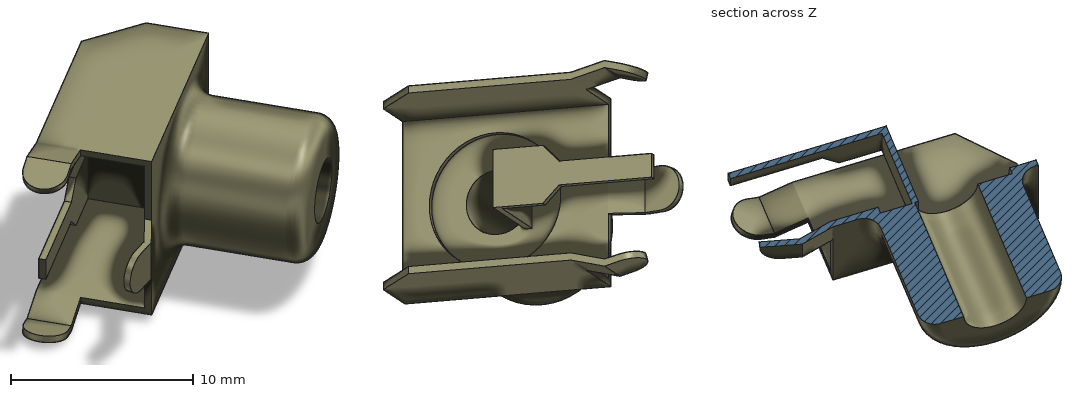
import cadquery as cq
import math

sheet = 0.4

wall_depth = 6.55
bracket_height = 10.6
top_y = 5.38
bottom_y = -6.6
corner_x = 3.0
corner_y = 2.53

barrel_radius = 4.16
barrel_length = 7.95
flare_radius = 0.95
rim_radius = 1.0
bore_radius = 1.81
recess_radius = 3.82
recess_depth = sheet

tab_width = 2.51
tab_rise = 0.5
tab_bend_drop = 1.96
wall_tab_drop = 3.95
web_tab_drop = 4.23

contact_front_x = -5.26
contact_top_y = -1.6
contact_tip_y = -10.82
taper_start_y = -4.5
taper_end_y = -5.46
contact_width = 3.27
tail_width = 1.35


def make_bracket():
    body = (
        cq.Workplane("XY")
        .box(wall_depth, top_y - bottom_y, bracket_height, centered=(False, False, True))
        .translate((-wall_depth, bottom_y, 0))
    )
    channel = (
        cq.Workplane("XY")
        .box(wall_depth, top_y - bottom_y, bracket_height - 2 * sheet, centered=(False, False, True))
        .translate((-wall_depth - sheet, bottom_y, 0))
    )
    corner = (
        cq.Workplane("XY")
        .moveTo(-wall_depth, top_y)
        .lineTo(-wall_depth + corner_x, top_y)
        .lineTo(-wall_depth, top_y - corner_y)
        .close()
        .extrude(bracket_height / 2, both=True)
    )
    return body.cut(channel).cut(corner)


def make_barrel():
    """Flared, rounded barrel; starts inside the web so the two overlap."""
    arc_offset = math.sqrt(0.5)
    flare_outer = barrel_radius + flare_radius
    flare_mid = (flare_radius * (1 - arc_offset), flare_outer - flare_radius * arc_offset)
    rim_start = barrel_length - rim_radius
    rim_mid = (rim_start + rim_radius * arc_offset, barrel_radius - rim_radius * (1 - arc_offset))
    return (
        cq.Workplane("XY")
        .moveTo(-sheet, 0)
        .lineTo(-sheet, flare_outer)
        .lineTo(0, flare_outer)
        .threePointArc(flare_mid, (flare_radius, barrel_radius))
        .lineTo(rim_start, barrel_radius)
        .threePointArc(rim_mid, (barrel_length, barrel_radius - rim_radius))
        .lineTo(barrel_length, 0)
        .close()
        .revolve(360, (0, 0, 0), (1, 0, 0))
    )


def make_tab(drop):
    """Bent, round-ended tab hanging down -Y from the origin, bulging to +X, centred on Z = 0."""
    slope = tab_rise / tab_bend_drop
    tip_x = tab_rise - slope * (drop - tab_bend_drop)
    end_drop = drop + tab_width
    end_x = tip_x - slope * tab_width
    strip = (
        cq.Workplane("XY")
        .polyline([
            (0, 0),
            (tab_rise, -tab_bend_drop),
            (end_x, -end_drop),
            (end_x - sheet, -end_drop),
            (tab_rise - sheet, -tab_bend_drop),
            (-sheet, 0),
        ])
        .close()
        .extrude(tab_width / 2, both=True)
    )
    leg_plane = cq.Plane(origin=(tip_x, -drop, 0), xDir=(0, 0, 1), normal=(1, -slope, 0))
    half = tab_width / 2
    outline = (
        cq.Workplane(leg_plane)
        .moveTo(-half, -2 * drop)
        .lineTo(-half, -half)
        .threePointArc((0, 0), (half, -half))
        .lineTo(half, -2 * drop)
        .close()
        .extrude(drop, both=True)
    )
    return strip.intersect(outline)


def make_contact():
    """Tapered blade with an arm folded back to the floor of the barrel recess."""
    blade = (
        cq.Workplane("YZ", origin=(contact_front_x, 0, 0))
        .moveTo(contact_top_y, contact_width / 2)
        .lineTo(taper_start_y, contact_width / 2)
        .lineTo(taper_end_y, tail_width / 2)
        .lineTo(contact_tip_y, tail_width / 2)
        .lineTo(contact_tip_y, -tail_width / 2)
        .lineTo(taper_end_y, -tail_width / 2)
        .lineTo(taper_start_y, -contact_width / 2)
        .lineTo(contact_top_y, -contact_width / 2)
        .close()
        .extrude(sheet)
    )
    arm_length = recess_depth - sheet - contact_front_x
    arm = (
        cq.Workplane("XY")
        .box(arm_length, sheet, contact_width, centered=(False, False, True))
        .translate((contact_front_x, contact_top_y - sheet, 0))
    )
    return blade.union(arm)


body = make_bracket().union(make_barrel())
recess = cq.Workplane("YZ", origin=(-sheet, 0, 0)).circle(recess_radius).extrude(recess_depth)
bore = cq.Workplane("YZ").circle(bore_radius).extrude(barrel_length)
body = body.cut(recess).cut(bore)

web_tab = make_tab(web_tab_drop).translate((0, bottom_y, 0))

wall_tab = (
    make_tab(wall_tab_drop)
    .rotate((0, 0, 0), (0, 1, 0), -90)
    .translate((-wall_depth + tab_width / 2, bottom_y, bracket_height / 2))
)

result = (
    body.union(web_tab)
    .union(wall_tab)
    .union(wall_tab.mirror("XY"))
    .union(make_contact())
)